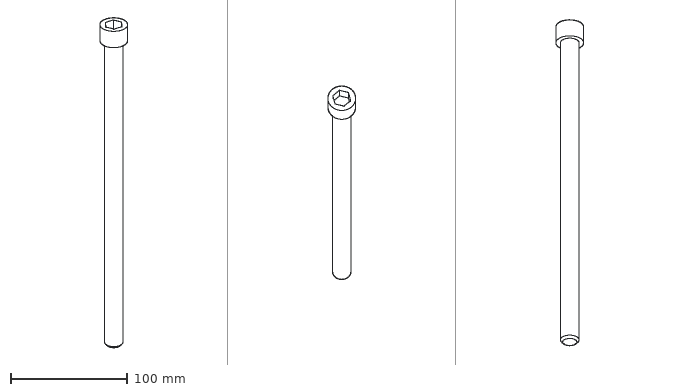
import cadquery as cq
import math

total_length = 316.0
head_diameter = 24.0
shank_diameter = 16.0
head_height = shank_diameter
thread_length = 44.0
tip_height = 2.2
tip_inset = 2.0
socket_width = 14.0
socket_depth = 10.0

shank_radius = shank_diameter / 2
head_radius = head_diameter / 2
head_bottom = total_length - head_height


def make_body():
    """Revolve the half outline; the extra point on the shank marks the thread end."""
    outline = [
        (0, 0),
        (shank_radius - tip_inset, 0),
        (shank_radius, tip_height),
        (shank_radius, thread_length),
        (shank_radius, head_bottom),
        (head_radius, head_bottom),
        (head_radius, total_length),
        (0, total_length),
    ]
    return cq.Workplane("XZ").polyline(outline).close().revolve(360, (0, 0), (0, 1), clean=False)


def make_socket():
    """Hexagonal key recess with corners on the X axis, open at the head top."""
    across_corners = socket_width / math.cos(math.pi / 6)
    top_plane = cq.Workplane("XY").workplane(offset=total_length)
    return top_plane.polygon(6, across_corners).extrude(-socket_depth)


result = make_body().cut(make_socket(), clean=False)